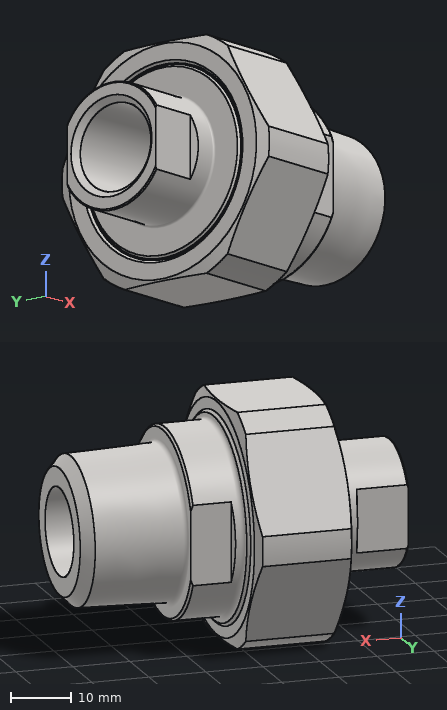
import cadquery as cq
import math

TOTAL_LENGTH = 58.0
BORE_D = 15.2

NUT_START = 13.45
NUT_END = 30.5
NUT_ACROSS_FLATS = 41.0
NUT_CORNER_D = 44.65
NUT_FACE_D = 40.35
NUT_CHAMFER_LENGTH = 0.75
NUT_LIP_BORE_D = 33.5
NUT_LIP_CHAMFER = 0.45
NUT_LIP_LENGTH = 4.05
NUT_INNER_D = 36.35

TAIL_D = 22.0
TAIL_END_CHAMFER = 0.25
TAIL_BORE_CHAMFER = 1.1
TAIL_FILLET = 0.4
TAIL_COLLAR_D = 33.0
TAIL_COLLAR_CHAMFER = 0.4
TAIL_FLANGE_D = 36.0
TAIL_FLANGE_LENGTH = 3.5
TAIL_FLATS_WIDTH = 19.0
TAIL_FLATS_END = 9.05
TAIL_FLATS_RUNOUT = 0.35

BODY_RIM_END = 31.05
BODY_RIM_CHAMFER = 0.5
BODY_COLLAR_D = 33.0
BODY_COLLAR_END = 39.95
BODY_COLLAR_CHAMFER = 0.4
BODY_FILLET = 0.8
BODY_FLATS_WIDTH = 29.9
BODY_FLATS_START = 32.9
BODY_FLATS_RUNOUT = 0.3
THREAD_START_D = 26.85
THREAD_TAPER = 1 / 16
THREAD_END_CHAMFER = 2.0

LIP_END = NUT_START + NUT_LIP_LENGTH
JOINT_X = LIP_END + TAIL_FLANGE_LENGTH


def revolve_about_x(profile):
    """Turn a closed (x, radius) profile into a solid of revolution about X."""
    return profile.close().revolve(360, (0, 0, 0), (1, 0, 0))


def concave_fillet(profile, corner_x, corner_r, radius, wall_side):
    """Add a quarter arc along +X at the corner of a cylinder and a wall.

    wall_side is +1 when the profile climbs onto a wall beyond the cylinder,
    and -1 when it comes down a wall onto the cylinder.
    """
    bulge = radius * (1 - math.sqrt(0.5))
    middle = (corner_x - wall_side * bulge, corner_r + bulge)
    on_wall = (corner_x, corner_r + radius)
    on_cylinder = (corner_x - wall_side * radius, corner_r)
    start, end = (on_cylinder, on_wall) if wall_side > 0 else (on_wall, on_cylinder)
    return profile.lineTo(*start).threePointArc(middle, end)


def cut_flats(solid, flats_width, outer_d, flat_x, outer_x, open_x):
    """Cut two opposite flats facing +Y and -Y, with a sloped wall from flat_x to outer_x."""
    flat_y = flats_width / 2
    outer_y = outer_d / 2
    slope = (outer_x - flat_x) / (outer_y - flat_y)
    clear_y = outer_y + 0.6
    clear_x = flat_x + slope * (clear_y - flat_y)
    for side in (1, -1):
        cutter = (
            cq.Workplane("XY")
            .polyline([
                (open_x, side * flat_y),
                (flat_x, side * flat_y),
                (clear_x, side * clear_y),
                (open_x, side * clear_y),
            ])
            .close()
            .extrude(outer_d / 2, both=True)
        )
        solid = solid.cut(cutter)
    return solid


def make_nut():
    length = NUT_END - NUT_START
    hexagon_corner_d = NUT_ACROSS_FLATS / math.cos(math.pi / 6)
    hexagon = (
        cq.Workplane("YZ", origin=(NUT_START, 0, 0))
        .polygon(6, hexagon_corner_d)
        .extrude(length)
    )
    chamfered_ring = revolve_about_x(
        cq.Workplane("XY")
        .moveTo(NUT_START, NUT_LIP_BORE_D / 2 + NUT_LIP_CHAMFER)
        .lineTo(NUT_START, NUT_FACE_D / 2)
        .lineTo(NUT_START + NUT_CHAMFER_LENGTH, NUT_CORNER_D / 2)
        .lineTo(NUT_END - NUT_CHAMFER_LENGTH, NUT_CORNER_D / 2)
        .lineTo(NUT_END, NUT_FACE_D / 2)
        .lineTo(NUT_END, NUT_INNER_D / 2)
        .lineTo(LIP_END, NUT_INNER_D / 2)
        .lineTo(LIP_END, NUT_LIP_BORE_D / 2)
        .lineTo(NUT_START + NUT_LIP_CHAMFER, NUT_LIP_BORE_D / 2)
    )
    return hexagon.intersect(chamfered_ring)


def make_tailpiece():
    tail_r = TAIL_D / 2
    collar_r = TAIL_COLLAR_D / 2
    profile = (
        cq.Workplane("XY")
        .moveTo(0, BORE_D / 2 + TAIL_BORE_CHAMFER)
        .lineTo(0, tail_r - TAIL_END_CHAMFER)
        .lineTo(TAIL_END_CHAMFER, tail_r)
    )
    profile = concave_fillet(profile, NUT_START, tail_r, TAIL_FILLET, 1)
    profile = (
        profile
        .lineTo(NUT_START, collar_r - TAIL_COLLAR_CHAMFER)
        .lineTo(NUT_START + TAIL_COLLAR_CHAMFER, collar_r)
        .lineTo(LIP_END, collar_r)
        .lineTo(LIP_END, TAIL_FLANGE_D / 2)
        .lineTo(JOINT_X, TAIL_FLANGE_D / 2)
        .lineTo(JOINT_X, BORE_D / 2)
        .lineTo(TAIL_BORE_CHAMFER, BORE_D / 2)
    )
    return cut_flats(
        revolve_about_x(profile),
        TAIL_FLATS_WIDTH,
        TAIL_D,
        TAIL_FLATS_END,
        TAIL_FLATS_END + TAIL_FLATS_RUNOUT,
        0,
    )


def make_body():
    rim_r = NUT_INNER_D / 2
    collar_r = BODY_COLLAR_D / 2
    thread_start_r = THREAD_START_D / 2
    thread_start = BODY_COLLAR_END + BODY_FILLET
    thread_end = TOTAL_LENGTH - THREAD_END_CHAMFER
    thread_end_r = thread_start_r - (thread_end - thread_start) * THREAD_TAPER / 2
    profile = (
        cq.Workplane("XY")
        .moveTo(JOINT_X, BORE_D / 2)
        .lineTo(JOINT_X, rim_r)
        .lineTo(BODY_RIM_END - BODY_RIM_CHAMFER, rim_r)
        .lineTo(BODY_RIM_END, rim_r - BODY_RIM_CHAMFER)
    )
    profile = concave_fillet(profile, BODY_RIM_END, collar_r, BODY_FILLET, -1)
    profile = (
        profile
        .lineTo(BODY_COLLAR_END - BODY_COLLAR_CHAMFER, collar_r)
        .lineTo(BODY_COLLAR_END, collar_r - BODY_COLLAR_CHAMFER)
    )
    profile = concave_fillet(profile, BODY_COLLAR_END, thread_start_r, BODY_FILLET, -1)
    profile = (
        profile
        .lineTo(thread_end, thread_end_r)
        .lineTo(TOTAL_LENGTH, thread_end_r - THREAD_END_CHAMFER)
        .lineTo(TOTAL_LENGTH, BORE_D / 2)
    )
    return cut_flats(
        revolve_about_x(profile),
        BODY_FLATS_WIDTH,
        BODY_COLLAR_D,
        BODY_FLATS_START,
        BODY_FLATS_START - BODY_FLATS_RUNOUT,
        BODY_COLLAR_END,
    )


nut = make_nut()
tailpiece = make_tailpiece()
body = make_body()

result = cq.Compound.makeCompound([nut.val(), tailpiece.val(), body.val()])